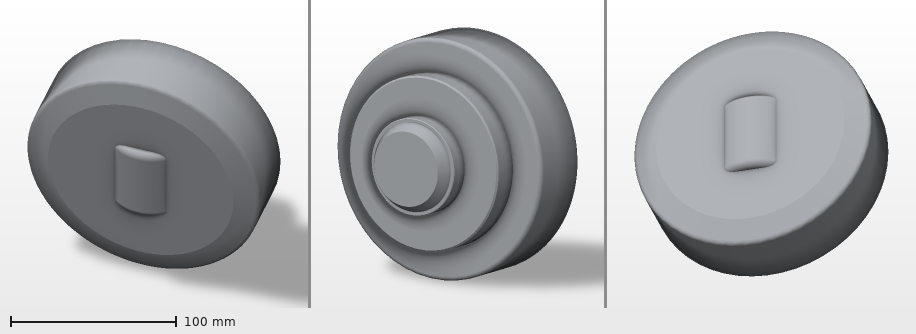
import cadquery as cq

wheel_diameter = 149.0
front_face_diameter = 118.6
front_taper_depth = 4.2
wheel_back = 45.0
wheel_edge_fillet = 2.7

boss_diameter = 108.0
boss_back = 61.5
boss_chamfer = 1.0

hub_diameter = 60.0
hub_back = 73.2
hub_chamfer = 0.5

nose_base_diameter = 55.0
nose_tip_diameter = 46.2
nose_back = 80.5

roller_diameter = 55.0
roller_length = 50.2
roller_end_fillet = 4.0
roller_protrusion = 5.5


def make_roller():
    """Cylinder with rounded ends, centred on the wheel axis."""
    axis_y = roller_diameter / 2 - roller_protrusion
    return (
        cq.Workplane("XY", origin=(0, axis_y, -roller_length / 2))
        .circle(roller_diameter / 2)
        .extrude(roller_length)
        .faces("<Z or >Z")
        .edges()
        .fillet(roller_end_fillet)
    )


def make_disc():
    """Wheel disc with a tapered front and rounded rims."""
    wheel_radius = wheel_diameter / 2
    return (
        cq.Workplane("XY")
        .polyline([
            (0, 0),
            (front_face_diameter / 2, 0),
            (wheel_radius, front_taper_depth),
            (wheel_radius, wheel_back),
            (0, wheel_back),
        ])
        .close()
        .revolve(360, (0, 0, 0), (0, 1, 0))
        .edges(cq.selectors.RadiusNthSelector(-1))
        .fillet(wheel_edge_fillet)
    )


def make_stepped_shank():
    """Boss, hub and conical nose behind the disc."""
    boss_radius = boss_diameter / 2
    hub_radius = hub_diameter / 2
    return (
        cq.Workplane("XY")
        .polyline([
            (0, wheel_back),
            (boss_radius, wheel_back),
            (boss_radius, boss_back - boss_chamfer),
            (boss_radius - boss_chamfer, boss_back),
            (hub_radius, boss_back),
            (hub_radius, hub_back - hub_chamfer),
            (hub_radius - hub_chamfer, hub_back),
            (nose_base_diameter / 2, hub_back),
            (nose_tip_diameter / 2, nose_back),
            (0, nose_back),
        ])
        .close()
        .revolve(360, (0, 0, 0), (0, 1, 0))
    )


def make_wheel(roller):
    """Disc and shank as one solid, with a matching pocket for the roller."""
    return make_disc().union(make_stepped_shank()).cut(roller)


roller = make_roller()
wheel = make_wheel(roller)

result = cq.Compound.makeCompound([wheel.solids().val(), roller.solids().val()])